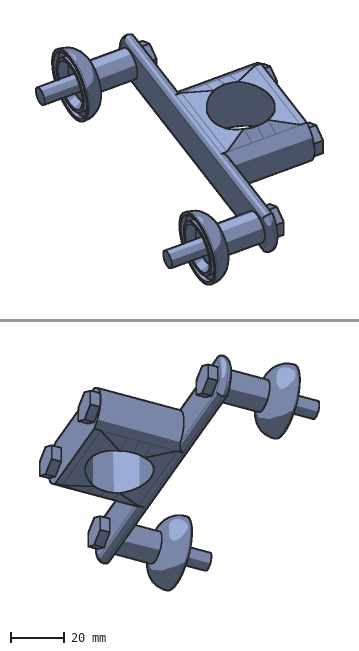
import cadquery as cq
import math


BLOCK_HALF_Y = 18.4
BLOCK_HALF_Z = 9.71
BLOCK_FLAT_HALF_X = 18.3
BLOCK_HALF_X = 24.60
BORE_RADIUS = 12.9

CROWN_HALF_Y = 15.7
CROWN_PEAK_Y = 5.09
CROWN_HEIGHT = 1.9
CROWN_PEAK_X = math.sqrt(BORE_RADIUS**2 - CROWN_PEAK_Y**2)
CROWN_INNER_X = 10.0

PLATE_HALF_X = 60.55
PLATE_THICKNESS = 4.57
PLATE_MID_Y = -18.05
PLATE_END_RADIUS = 12.7
PLATE_RIM_FLAT = 0.01
PLATE_RIM_FILLET = (PLATE_THICKNESS - PLATE_RIM_FLAT) / 2
PLATE_BACK_Y = PLATE_MID_Y + PLATE_THICKNESS / 2

HEX_ACROSS_FLATS = 11.3
HEX_ACROSS_CORNERS = HEX_ACROSS_FLATS / math.cos(math.radians(30))
HEX_HEIGHT = 4.0

PIN_X = 50.8
POST_RADIUS = 6.35
CUP_RADIUS = 14.49
CUP_TOP_Y = -36.85
CUP_RIM_HEIGHT = 0.75
DOME_RADIUS = CUP_RADIUS - POST_RADIUS
CUP_FACE_Y = CUP_TOP_Y - DOME_RADIUS - CUP_RIM_HEIGHT
ROD_RADIUS = 3.57
ROD_END_Y = BLOCK_HALF_Y + HEX_HEIGHT - 80.88

GROOVE_OUTER_RADIUS = 13.34
GROOVE_INNER_RADIUS = 10.95
GROOVE_DEPTH = 2.0
WELL_MOUTH_RADIUS = 9.77
WELL_FLOOR_RADIUS = 7.79
WELL_DEPTH = 3.4


def bowed_bar(half_x, side_bow, y_start, length):
    """Bar along +Y with a flat top and bottom and outward-curved sides."""
    flat_x = half_x - side_bow
    outline = (
        cq.Workplane("XZ", origin=(0, y_start, 0))
        .moveTo(-flat_x, BLOCK_HALF_Z)
        .lineTo(flat_x, BLOCK_HALF_Z)
        .threePointArc((half_x, 0), (flat_x, -BLOCK_HALF_Z))
        .lineTo(-flat_x, -BLOCK_HALF_Z)
        .threePointArc((-half_x, 0), (-flat_x, BLOCK_HALF_Z))
        .close()
    )
    return outline.extrude(-length)


def crown_section(y, peak_x):
    """Closed XZ section of the side slopes, reaching the crown height at peak_x."""
    slope = CROWN_HEIGHT / (BLOCK_FLAT_HALF_X - peak_x)
    inner_z = BLOCK_HALF_Z + slope * (BLOCK_FLAT_HALF_X - CROWN_INNER_X)
    points = [
        (-BLOCK_FLAT_HALF_X, 0),
        (-BLOCK_FLAT_HALF_X, BLOCK_HALF_Z),
        (-CROWN_INNER_X, inner_z),
        (CROWN_INNER_X, inner_z),
        (BLOCK_FLAT_HALF_X, BLOCK_HALF_Z),
        (BLOCK_FLAT_HALF_X, 0),
    ]
    return cq.Wire.makePolygon([cq.Vector(x, y, z) for x, z in points], close=True)


def crown():
    """Raised facets above the block: side slopes cut down by the two end slopes."""
    stations = [
        (-CROWN_HALF_Y, CROWN_PEAK_X),
        (-CROWN_PEAK_Y, CROWN_PEAK_X),
        (0, BORE_RADIUS),
        (CROWN_PEAK_Y, CROWN_PEAK_X),
        (CROWN_HALF_Y, CROWN_PEAK_X),
    ]
    sections = [crown_section(y, peak_x) for y, peak_x in stations]
    side_slopes = cq.Workplane(cq.Solid.makeLoft(sections, True))

    end_slope = CROWN_HEIGHT / (CROWN_HALF_Y - CROWN_PEAK_Y)
    ridge_z = BLOCK_HALF_Z + end_slope * CROWN_HALF_Y
    end_slopes = (
        cq.Workplane("YZ")
        .polyline([
            (-CROWN_HALF_Y, 0),
            (-CROWN_HALF_Y, BLOCK_HALF_Z),
            (0, ridge_z),
            (CROWN_HALF_Y, BLOCK_HALF_Z),
            (CROWN_HALF_Y, 0),
        ])
        .close()
        .extrude(BLOCK_FLAT_HALF_X, both=True)
    )
    return side_slopes.intersect(end_slopes)


def clamp_block():
    block = bowed_bar(
        BLOCK_HALF_X, BLOCK_HALF_X - BLOCK_FLAT_HALF_X, PLATE_MID_Y, BLOCK_HALF_Y - PLATE_MID_Y
    )
    top_crown = crown()
    block = block.union(top_crown).union(top_crown.mirror("XY"))
    bore = cq.Workplane("XY").circle(BORE_RADIUS).extrude(2 * BLOCK_HALF_Z, both=True)
    return block.cut(bore)


def mounting_plate():
    end_bow = PLATE_END_RADIUS - math.sqrt(PLATE_END_RADIUS**2 - BLOCK_HALF_Z**2)
    plate = bowed_bar(
        PLATE_HALF_X, end_bow, PLATE_MID_Y - PLATE_THICKNESS / 2, PLATE_THICKNESS
    )
    return plate.faces("<Y or >Y").edges().fillet(PLATE_RIM_FILLET)


def hex_head(x, seat_y):
    """Bolt head standing on a +Y seat, with two corners pointing up and down."""
    return (
        cq.Workplane("XZ", origin=(x, seat_y, 0))
        .transformed(rotate=(0, 0, 90))
        .polygon(6, HEX_ACROSS_CORNERS)
        .extrude(-HEX_HEIGHT)
    )


def pin(x):
    """Post, domed cup and rod as one turned body about a Y axis at the given x."""
    dome_mid = DOME_RADIUS * math.sin(math.radians(45))
    groove_floor_y = CUP_FACE_Y + GROOVE_DEPTH
    well_floor_y = CUP_FACE_Y + WELL_DEPTH
    profile = (
        cq.Workplane("ZY")
        .moveTo(0, PLATE_MID_Y)
        .lineTo(POST_RADIUS, PLATE_MID_Y)
        .lineTo(POST_RADIUS, CUP_TOP_Y)
        .threePointArc(
            (POST_RADIUS + dome_mid, CUP_TOP_Y - DOME_RADIUS + dome_mid),
            (CUP_RADIUS, CUP_TOP_Y - DOME_RADIUS),
        )
        .lineTo(CUP_RADIUS, CUP_FACE_Y)
        .lineTo(GROOVE_OUTER_RADIUS, CUP_FACE_Y)
        .lineTo(GROOVE_OUTER_RADIUS, groove_floor_y)
        .lineTo(GROOVE_INNER_RADIUS, groove_floor_y)
        .lineTo(GROOVE_INNER_RADIUS, CUP_FACE_Y)
        .lineTo(WELL_MOUTH_RADIUS, CUP_FACE_Y)
        .lineTo(WELL_FLOOR_RADIUS, well_floor_y)
        .lineTo(ROD_RADIUS, well_floor_y)
        .lineTo(ROD_RADIUS, ROD_END_Y)
        .lineTo(0, ROD_END_Y)
        .close()
    )
    return profile.revolve(360, (0, 0, 0), (0, 1, 0)).translate((x, 0, 0))


result = mounting_plate().union(clamp_block())
for side in (-1, 1):
    result = result.union(pin(side * PIN_X))
    result = result.union(hex_head(side * PIN_X, PLATE_BACK_Y))
    result = result.union(hex_head(side * BLOCK_FLAT_HALF_X, BLOCK_HALF_Y))